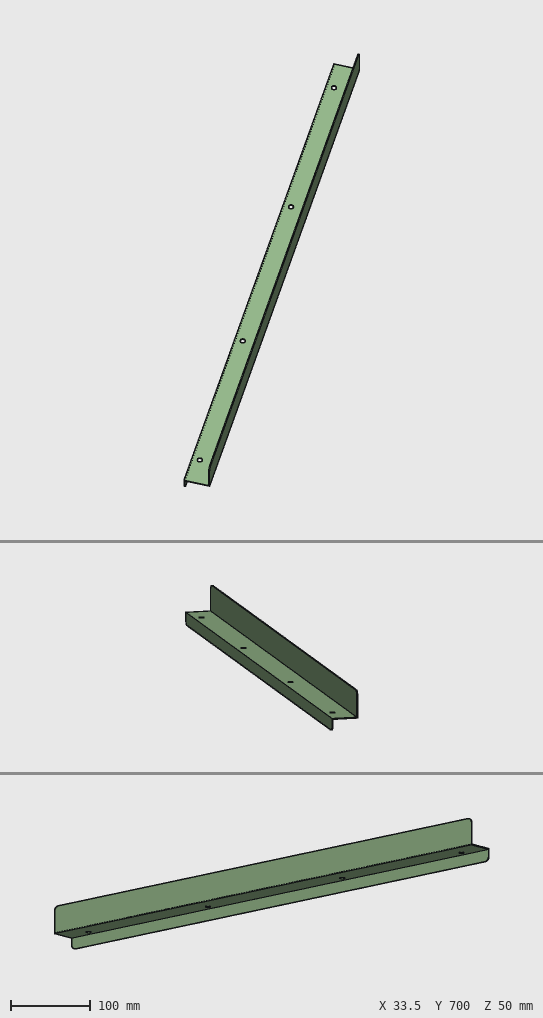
import cadquery as cq

length = 700.0
width = 33.5
height = 50.0
thickness = 1.5

shelf_top = 16.0
shelf_bottom = shelf_top - thickness
corner_radius = 6.0

hole_diameter = 6.0
hole_inset = 10.5
inner_hole_offset = 113.0
outer_hole_offset = 313.0


def plate(size_x, size_z, x, z):
    """Full-length plate with its lower left edge at (x, z), centred on Y."""
    body = cq.Workplane("XY").box(size_x, length, size_z, centered=(False, True, False))
    return body.translate((x, 0, z))


lip = plate(thickness, shelf_top, 0, 0)
lip = lip.edges("|X and <Z").fillet(corner_radius)

flange = plate(thickness, height - shelf_bottom, width - thickness, shelf_bottom)
flange = flange.edges("|X and >Z").fillet(corner_radius)

hole_points = [
    (hole_inset, side * offset)
    for side in (-1, 1)
    for offset in (inner_hole_offset, outer_hole_offset)
]
holes = (
    cq.Workplane("XY", origin=(0, 0, shelf_bottom))
    .pushPoints(hole_points)
    .circle(hole_diameter / 2)
    .extrude(thickness)
)
shelf = plate(width, thickness, 0, shelf_bottom).cut(holes)

result = shelf.union(lip).union(flange)